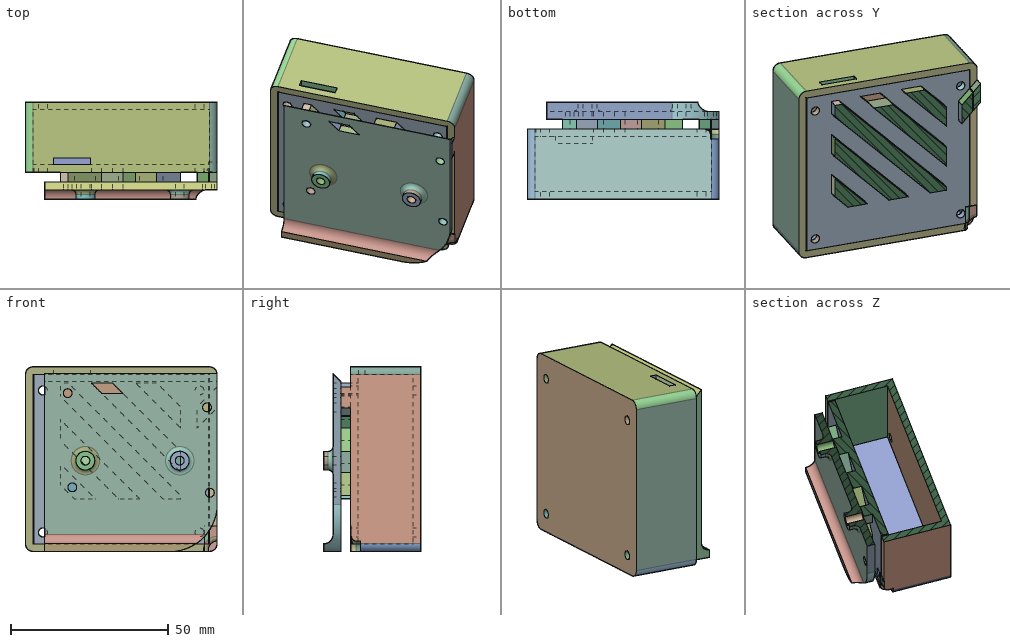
import cadquery as cq
import math

WIDTH = 61.0
HEIGHT = 58.8
WALL = 2.45
HOUSING_DEPTH = 22.4
CORNER_RADIUS = 2.5
MOUTH_Y = 0.0
BACK_Y = MOUTH_Y + HOUSING_DEPTH
SCREW_HOLE_DIAMETER = 2.8

SLOT_LEFT = 8.9
SLOT_LENGTH = 11.85
SLOT_FRONT_Y = 2.5
SLOT_WIDTH = 2.15

COVER_PLAY = 0.25
COVER_THICKNESS = WALL
COVER_HOLE_INSET = 5.6
COVER_HOLE_HEIGHTS = (6.1, 51.25)

BAR_HEIGHT = 3.0
BAR_PITCH = 14.1
BAR_WIDTH = 6.7
BAR_COUNT = 5
FIRST_BAR_SUM = 32.3
BAR_FIELD_LEFT = 11.1
BAR_FIELD_RIGHT = 49.4
BAR_FIELD_BOTTOM = 16.8
BAR_FIELD_TOP = 53.6

EDGE_BAR_LEFT = 54.6
EDGE_BAR_LEFT_TOP = 46.0

NOTCH_LEFT = 57.05
NOTCH_TOP = 8.2
NOTCH_DEPTH = 0.25
POCKET_X = WIDTH
POCKET_Z = 0.55
POCKET_DIAMETER = 5.6
POCKET_DEPTH = 3.0

WINDOW_BAR = 3
WINDOW_HEIGHT = 3.3

PLATE_LEFT = 6.1
PLATE_TOP = 56.6
PLATE_THICKNESS = 2.55
PLATE_BACK_Y = MOUTH_Y - BAR_HEIGHT
PLATE_FRONT_Y = PLATE_BACK_Y - PLATE_THICKNESS
LIP_HEIGHT = 2.5
LIP_PROJECTION = 3.0
LIP_Y = PLATE_FRONT_Y - LIP_PROJECTION
PLATE_CORNER_RADIUS = 15.0
PLATE_HOLES = ((13.5, 50.4), (14.95, 20.45), (57.75, 45.9), (58.7, 18.7))

BOSS_DIAMETER = 6.0
BOSS_FILLET = 1.5
BOSS_SPACING = 30.0
BOSS_MIDDLE_X = 34.1
BOSS_Z = 28.9


def box(x0, x1, y0, y1, z0, z1):
    """A block given by its limits on each axis."""
    return cq.Workplane("XY").box(x1 - x0, y1 - y0, z1 - z0, centered=False).translate((x0, y0, z0))


def prism(points, y0, y1):
    """A prism from y0 to y1 whose outline runs through (x, z) points."""
    return cq.Workplane("XZ", origin=(0, y0, 0)).polyline(points).close().extrude(y0 - y1)


def cylinders(points, diameter, y0, y1):
    """Cylinders from y0 to y1 centred on (x, z) points."""
    return cq.Workplane("XZ", origin=(0, y0, 0)).pushPoints(points).circle(diameter / 2).extrude(y0 - y1)


def flared_post(x, z, diameter, face_y, tip_y):
    """A round post along Y that starts with a concave flare on the plane Y = face_y."""
    radius = diameter / 2
    fillet = math.copysign(BOSS_FILLET, tip_y - face_y)
    return (
        cq.Workplane("XY", origin=(x, 0, z))
        .moveTo(0, face_y)
        .lineTo(radius + BOSS_FILLET, face_y)
        .radiusArc((radius, face_y + fillet), fillet)
        .lineTo(radius, tip_y)
        .lineTo(0, tip_y)
        .close()
        .revolve(360, (0, 0, 0), (0, 1, 0))
    )


def bar(index, z0, z1, y0, y1):
    """The stretch of one spacer bar between the heights z0 and z1."""
    start = FIRST_BAR_SUM + index * BAR_PITCH
    end = start + BAR_WIDTH
    return prism([(start - z0, z0), (end - z0, z0), (end - z1, z1), (start - z1, z1)], y0, y1)


def edge_bar(x0, x1):
    """The part of the right edge bar that lies between x0 and x1."""
    top0 = EDGE_BAR_LEFT_TOP + x0 - EDGE_BAR_LEFT
    top1 = EDGE_BAR_LEFT_TOP + x1 - EDGE_BAR_LEFT
    points = [(x0, top0), (x1, top1), (x1, top1 - BAR_WIDTH), (x0, top0 - BAR_WIDTH)]
    return prism(points, PLATE_BACK_Y, MOUTH_Y)


def window():
    """Tool for the window through the plate, the top of one bar and the cover."""
    bottom = BAR_FIELD_TOP - WINDOW_HEIGHT
    return bar(WINDOW_BAR, bottom, BAR_FIELD_TOP, PLATE_FRONT_Y, MOUTH_Y + COVER_THICKNESS)


def cover_holes():
    """Tool for the four screw holes through the cover and the housing back."""
    xs = (COVER_HOLE_INSET, WIDTH - COVER_HOLE_INSET)
    points = [(x, z) for x in xs for z in COVER_HOLE_HEIGHTS]
    return cylinders(points, SCREW_HOLE_DIAMETER, MOUTH_Y, BACK_Y)


def corner_notch():
    """Tool for the shallow notch and the pocket with a rounded mouth that sinks from its floor."""
    floor_y = MOUTH_Y + NOTCH_DEPTH
    notch = box(NOTCH_LEFT, WIDTH, MOUTH_Y, floor_y, 0, NOTCH_TOP)
    pocket = flared_post(POCKET_X, POCKET_Z, POCKET_DIAMETER, floor_y, floor_y + POCKET_DEPTH)
    return notch.union(pocket)


def make_housing():
    body = box(0, WIDTH, MOUTH_Y, BACK_Y, 0, HEIGHT).edges("|Y").fillet(CORNER_RADIUS)
    cavity = box(WALL, WIDTH - WALL, MOUTH_Y, BACK_Y - WALL, WALL, HEIGHT - WALL)
    slot_right = SLOT_LEFT + SLOT_LENGTH
    slot_back_y = SLOT_FRONT_Y + SLOT_WIDTH
    slot = box(SLOT_LEFT, slot_right, SLOT_FRONT_Y, slot_back_y, HEIGHT - WALL, HEIGHT)
    body = body.cut(cavity).cut(slot).union(edge_bar(WIDTH - WALL, WIDTH))
    return body.cut(corner_notch()).cut(cover_holes())


def make_cover():
    inset = WALL + COVER_PLAY
    body = box(inset, WIDTH - inset, MOUTH_Y, MOUTH_Y + COVER_THICKNESS, WALL, HEIGHT - WALL)
    field = box(BAR_FIELD_LEFT, BAR_FIELD_RIGHT, PLATE_BACK_Y, MOUTH_Y, BAR_FIELD_BOTTOM, BAR_FIELD_TOP)
    for index in range(BAR_COUNT):
        full_bar = bar(index, BAR_FIELD_BOTTOM, BAR_FIELD_TOP, PLATE_BACK_Y, MOUTH_Y)
        body = body.union(full_bar.intersect(field))
    body = body.union(edge_bar(EDGE_BAR_LEFT, WIDTH - inset))
    return body.cut(window()).cut(corner_notch()).cut(cover_holes())


def plate_blank():
    """Plate with a bevelled top edge and a coved lip along the bottom, before any cuts."""
    cove_top = LIP_HEIGHT + LIP_PROJECTION
    cove_offset = LIP_PROJECTION * math.sqrt(0.5)
    cove_middle = (LIP_Y + cove_offset, cove_top - cove_offset)
    return (
        cq.Workplane("YZ", origin=(PLATE_LEFT, 0, 0))
        .moveTo(PLATE_BACK_Y, 0)
        .lineTo(LIP_Y, 0)
        .lineTo(LIP_Y, LIP_HEIGHT)
        .threePointArc(cove_middle, (PLATE_FRONT_Y, cove_top))
        .lineTo(PLATE_FRONT_Y, PLATE_TOP)
        .lineTo(PLATE_BACK_Y, PLATE_TOP - PLATE_THICKNESS)
        .close()
        .extrude(WIDTH - PLATE_LEFT)
    )


def plate_corner_waste():
    """Material outside the rounded lower right corner of the plate."""
    radius = PLATE_CORNER_RADIUS
    corner = box(WIDTH - radius, WIDTH, LIP_Y, PLATE_BACK_Y, 0, radius)
    return corner.cut(cylinders([(WIDTH - radius, radius)], 2 * radius, LIP_Y, PLATE_BACK_Y))


def make_plate():
    body = plate_blank().cut(plate_corner_waste())
    boss_centres = [(BOSS_MIDDLE_X + side * BOSS_SPACING / 2, BOSS_Z) for side in (-1, 1)]
    for x, z in boss_centres:
        body = body.union(flared_post(x, z, BOSS_DIAMETER, PLATE_FRONT_Y, LIP_Y))
    body = body.cut(cylinders(boss_centres, SCREW_HOLE_DIAMETER, LIP_Y, PLATE_BACK_Y))
    body = body.cut(cylinders(PLATE_HOLES, SCREW_HOLE_DIAMETER, PLATE_FRONT_Y, PLATE_BACK_Y))
    return body.cut(window())


housing = make_housing()
cover = make_cover()
plate = make_plate()
result = cq.Compound.makeCompound([housing.val(), cover.val(), plate.val()])